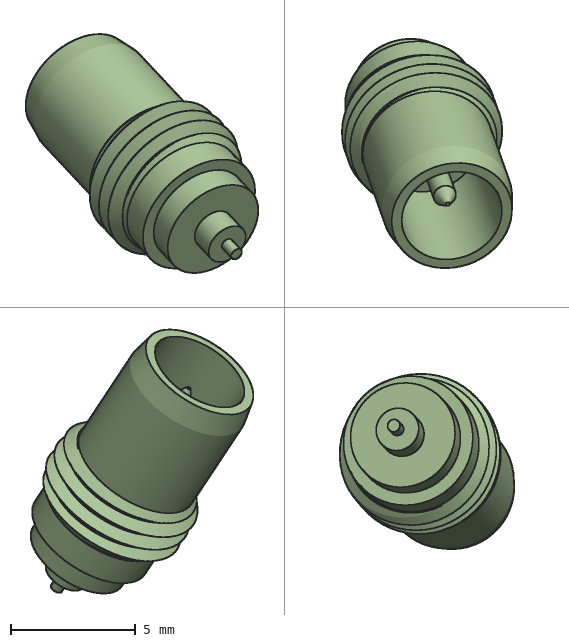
import cadquery as cq

nose_end = 1.0
thread_start = 5.32
thread_end = 8.02
body_end = 9.25
shoulder_end = 10.31
insulator_end = 11.39
total_length = 12.1

nose_radius = 2.46
body_radius = 2.65
shoulder_radius = 2.14
insulator_radius = 0.87
tail_radius = 0.25

bore_radius = 2.05
bore_depth = thread_start
pin_radius = 0.46
pin_tip_radius = 0.08
pin_start = 0.91
pin_cone_length = 0.67

pitch = 0.7
crest_diameter = 6.35
crest_radius = crest_diameter / 2
root_radius = 2.69
crest_flat = 0.01
root_flat = 0.07
first_crest = 5.52
lead_turns = 2
turns = 6
overlap = 0.02


def turned(points):
    """Revolve an (X, radius) outline about the X axis."""
    return cq.Workplane("XY").polyline(points).close().revolve(360, (0, 0, 0), (1, 0, 0))


def stepped_body():
    return turned([
        (0, 0),
        (0, nose_radius),
        (nose_end, body_radius),
        (body_end, body_radius),
        (body_end, shoulder_radius),
        (shoulder_end, shoulder_radius),
        (shoulder_end, insulator_radius),
        (insulator_end, insulator_radius),
        (insulator_end, tail_radius),
        (total_length, tail_radius),
        (total_length, 0),
    ])


def socket():
    return cq.Workplane("YZ").circle(bore_radius).extrude(bore_depth)


def contact_pin():
    return turned([
        (pin_start, 0),
        (pin_start, pin_tip_radius),
        (pin_start + pin_cone_length, pin_radius),
        (bore_depth + overlap, pin_radius),
        (bore_depth + overlap, 0),
    ])


def thread_envelope(radius):
    """Solid between the thread ends, with 45 degree lead-ins rising from the body."""
    rise = radius - body_radius
    return turned([
        (thread_start, 0),
        (thread_start, body_radius),
        (thread_start + rise, radius),
        (thread_end - rise, radius),
        (thread_end, body_radius),
        (thread_end, 0),
    ])


def thread_ridge():
    """Helical V ridge that runs past both thread ends."""
    start = first_crest - lead_turns * pitch
    half_crest = crest_flat / 2
    half_base = (pitch - root_flat) / 2
    flank_slope = (half_base - half_crest) / (crest_radius - root_radius)
    half_foot = half_base + overlap * flank_slope
    foot_radius = root_radius - overlap
    helix = cq.Wire.makeHelix(pitch, turns * pitch, root_radius)
    ridge = (
        cq.Workplane("XZ")
        .polyline([
            (foot_radius, -half_foot),
            (crest_radius, -half_crest),
            (crest_radius, half_crest),
            (foot_radius, half_foot),
        ])
        .close()
        .sweep(cq.Workplane(obj=helix), isFrenet=True)
    )
    return ridge.rotate((0, 0, 0), (0, 1, 0), 90).translate((start, 0, 0))


thread = thread_ridge().intersect(thread_envelope(crest_radius + overlap), clean=False)
sleeve = stepped_body().union(thread_envelope(root_radius)).cut(socket()).union(contact_pin())
result = sleeve.union(thread, clean=False)